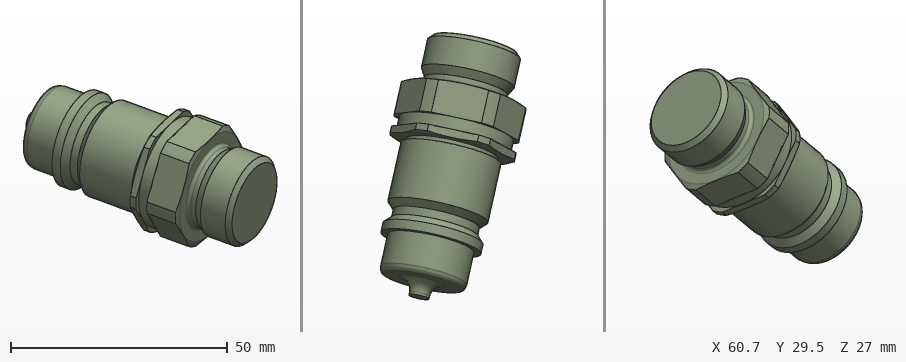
import cadquery as cq
import math


tip_radius = 2.35
tip_straight = 0.6
tip_flare = 3.1

nose_radius = 10.2
nose_face_x = tip_straight + tip_flare
nose_taper_end = 5.15
nose_taper_angle = 15.0
nose_round = 0.8

collar_radius = 11.85
collar_start = 13.0
collar_end = 15.25
ball_groove_end = 18.9
ball_groove_bevel = collar_radius - nose_radius

body_end = 34.6
relief_radius = 10.85

hex_start = 35.7
hex_end = 48.7
hex_flats = 27.0
hex_turned_radius = 14.75
hex_bevel_radius = 13.4
hex_bevel_angle = 15.0
ring_start = 37.65
ring_end = 40.55

thread_radius = 11.0
thread_start = 52.8
thread_chamfer = 1.15
undercut_radius = 9.85
undercut_fillet = 0.85
undercut_end = 50.8
total_length = 60.7


def make_body():
    """Revolved profile of everything except the hexagon."""
    flare_mid = tip_flare * math.sqrt(0.5)
    undercut_mid = undercut_fillet * (1 - math.sqrt(0.5))

    taper = math.radians(nose_taper_angle)
    full_turn = math.pi / 2 - taper
    half_turn = full_turn / 2
    nose_round_x = nose_face_x + nose_round
    taper_length = nose_taper_end - nose_round_x + nose_round * math.sin(taper)
    nose_round_r = nose_radius - taper_length * math.tan(taper) - nose_round * math.cos(taper)

    def round_point(turn):
        return (nose_round_x - nose_round * math.cos(turn), nose_round_r + nose_round * math.sin(turn))

    profile = (
        cq.Workplane("XY")
        .lineTo(0, tip_radius)
        .lineTo(tip_straight, tip_radius)
        .threePointArc(
            (tip_straight + flare_mid, tip_radius + tip_flare - flare_mid),
            (nose_face_x, tip_radius + tip_flare),
        )
        .lineTo(nose_face_x, nose_round_r)
        .threePointArc(round_point(half_turn), round_point(full_turn))
        .lineTo(nose_taper_end, nose_radius)
        .lineTo(collar_start, nose_radius)
        .lineTo(collar_start, collar_radius)
        .lineTo(collar_end, collar_radius)
        .lineTo(collar_end + ball_groove_bevel, nose_radius)
        .lineTo(ball_groove_end, nose_radius)
        .lineTo(ball_groove_end + ball_groove_bevel, collar_radius)
        .lineTo(body_end, collar_radius)
        .lineTo(body_end, relief_radius)
        .lineTo(hex_end, relief_radius)
        .lineTo(hex_end, undercut_radius + undercut_fillet)
        .threePointArc(
            (hex_end + undercut_mid, undercut_radius + undercut_mid),
            (hex_end + undercut_fillet, undercut_radius),
        )
        .lineTo(undercut_end, undercut_radius)
        .lineTo(thread_start, thread_radius)
        .lineTo(total_length - thread_chamfer, thread_radius)
        .lineTo(total_length, thread_radius - thread_chamfer)
        .lineTo(total_length, 0)
        .close()
    )
    return profile.revolve(360, (0, 0, 0), (1, 0, 0))


def make_hexagon():
    """Hexagon with flats facing +Z and -Z, turned corners and a round groove."""
    bevel = (hex_turned_radius - hex_bevel_radius) * math.tan(math.radians(hex_bevel_angle))
    prism = (
        cq.Workplane("YZ", origin=(hex_start, 0, 0))
        .polygon(6, hex_flats / math.cos(math.pi / 6))
        .extrude(hex_end - hex_start)
    )
    turned = (
        cq.Workplane("XY")
        .moveTo(hex_start, 0)
        .lineTo(hex_start, hex_bevel_radius)
        .lineTo(hex_start + bevel, hex_turned_radius)
        .lineTo(ring_start, hex_turned_radius)
        .lineTo(ring_start, hex_flats / 2)
        .lineTo(ring_end, hex_flats / 2)
        .lineTo(ring_end, hex_turned_radius)
        .lineTo(hex_end - bevel, hex_turned_radius)
        .lineTo(hex_end, hex_bevel_radius)
        .lineTo(hex_end, 0)
        .close()
        .revolve(360, (0, 0, 0), (1, 0, 0))
    )
    return prism.intersect(turned)


result = make_body().union(make_hexagon())